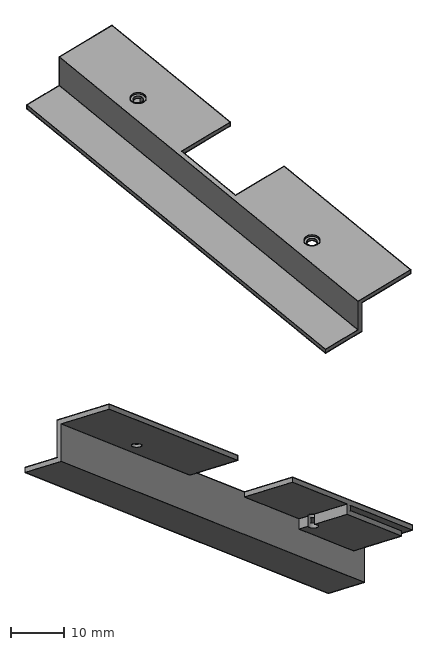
import cadquery as cq

length = 86.0
depth = 21.0
height = 8.5
sheet = 1.0
upper_flange_depth = 13.0

notch_width = 15.5
notch_start = 34.05
notch_depth = upper_flange_depth - sheet

hole_diameter = 2.0
counterbore_diameter = 3.0
counterbore_depth = 0.4
hole_end_distance = 18.0
hole_back_distance = 8.95

tab_length = notch_width
tab_end = notch_start - notch_width
tab_gap = sheet

web_outer_y = depth - upper_flange_depth
web_inner_y = web_outer_y + sheet
flange_underside = height - sheet


def box(x, y, z, size_x, size_y, size_z):
    """Box with its lowest corner at (x, y, z)."""
    return cq.Workplane("XY").box(size_x, size_y, size_z, centered=False).translate((x, y, z))


def z_profile():
    lower_flange = box(0, 0, 0, length, web_inner_y, sheet)
    web = box(0, web_outer_y, 0, length, sheet, height)
    upper_flange = box(0, web_outer_y, flange_underside, length, upper_flange_depth, sheet)
    return lower_flange.union(web).union(upper_flange)


def folded_tab():
    plate_z = flange_underside - tab_gap - sheet
    wall = box(tab_end - sheet, web_inner_y, plate_z, sheet, notch_depth, tab_gap + sheet)
    plate = box(tab_end - tab_length, web_inner_y, plate_z, tab_length, notch_depth, sheet)
    return wall.union(plate)


notch = box(notch_start, web_inner_y, 0, notch_width, notch_depth, height)
hole_y = depth - hole_back_distance
hole_points = [(x, hole_y) for x in (hole_end_distance, length - hole_end_distance)]

result = (
    z_profile()
    .cut(notch)
    .union(folded_tab())
    .faces(">Z")
    .workplane(origin=(0, 0, height))
    .pushPoints(hole_points)
    .cboreHole(hole_diameter, counterbore_diameter, counterbore_depth)
)